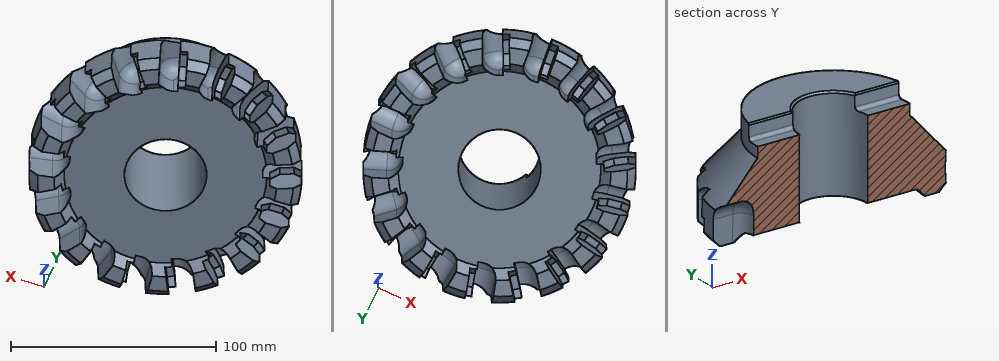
import cadquery as cq
import math

outer_radius = 66.4
total_height = 60.8
hub_radius = 45.0
hub_base = 45.8
cone_base = 21.4
rim_chamfer = 4.1
bore_radius = 20.0
bore_chamfer = 1.0

recess_depth = 4.9
recess_mouth_radius = 54.2

keyway_width = 16.5
keyway_depth = 8.9
keyway_floor_fillet = 2.0
keyway_edge_chamfer = 0.8

tooth_count = 17
first_tooth_angle = 264.1
rake_offset = 3.2
axial_rake = 1.5

slot_width = 9.7
slot_floor = 47.3
slot_floor_width = 2.3
slot_spring = 15.5

seat_sides = 8
seat_depth = 3.6
seat_across_flats = 16.7
seat_center = 59.0
seat_height = 6.5

clearance = 6.6
reach = outer_radius + clearance


def turned_body():
    recess_top_radius = recess_mouth_radius - recess_depth
    return (
        cq.Workplane("XZ")
        .moveTo(bore_radius, recess_depth)
        .lineTo(recess_top_radius, recess_depth)
        .lineTo(recess_mouth_radius, 0)
        .lineTo(outer_radius - rim_chamfer, 0)
        .lineTo(outer_radius, rim_chamfer)
        .lineTo(outer_radius, cone_base)
        .lineTo(hub_radius, hub_base)
        .lineTo(hub_radius, total_height)
        .lineTo(bore_radius + bore_chamfer, total_height)
        .lineTo(bore_radius, total_height - bore_chamfer)
        .close()
        .revolve(360, (0, 0, 0), (0, 1, 0))
    )


def keyway_cutter():
    """Bar along X with rounded lower edges and a flared mouth."""
    half_width = keyway_width / 2
    half_mouth = half_width + keyway_edge_chamfer
    floor = total_height - keyway_depth
    bar = (
        cq.Workplane("XY", origin=(0, 0, floor))
        .rect(2 * reach, keyway_width)
        .extrude(keyway_depth)
        .edges("|X and <Z")
        .fillet(keyway_floor_fillet)
    )
    mouth = (
        cq.Workplane("YZ")
        .polyline([
            (-half_mouth, total_height),
            (half_mouth, total_height),
            (half_width, total_height - keyway_edge_chamfer),
            (-half_width, total_height - keyway_edge_chamfer),
        ])
        .close()
        .extrude(reach, both=True)
    )
    return bar.union(mouth)


def slot_outline():
    """Plan of the chip slot pointing along +X, with its flat wall on Y = 0."""
    corner_radius = slot_width - slot_floor_width
    return (
        cq.Workplane("XY")
        .moveTo(slot_floor, 0)
        .lineTo(slot_floor, -slot_floor_width)
        .radiusArc((slot_floor + corner_radius, -slot_width), -corner_radius)
        .lineTo(reach, -slot_width)
        .lineTo(reach, 0)
        .close()
    )


def slot_cutter():
    """Chip slot with its spring line on Z = 0, open below and domed above."""
    straight = slot_outline().extrude(-slot_spring - clearance)
    dome = slot_outline().revolve(90, (reach, 0, 0), (0, 0, 0))
    return straight.union(dome)


def seat_cutter():
    """Octagonal prism sunk behind the slot wall, in the same frame as the slot."""
    corner_diameter = seat_across_flats / math.cos(math.pi / seat_sides)
    return (
        cq.Workplane("XZ")
        .polygon(seat_sides, corner_diameter)
        .extrude(-seat_depth)
        .rotate((0, 0, 0), (0, 1, 0), 180 / seat_sides)
        .translate((seat_center, 0, seat_height - slot_spring))
    )


def tooth_cutter():
    """Slot and seat together, leaned by the axial rake and set at their height and offset."""
    return (
        slot_cutter()
        .union(seat_cutter())
        .rotate((0, 0, 0), (1, 0, 0), -axial_rake)
        .translate((0, rake_offset, slot_spring))
    )


result = turned_body().cut(keyway_cutter())

tooth_gap = tooth_cutter()
for tooth in range(tooth_count):
    angle = first_tooth_angle + tooth * 360 / tooth_count
    result = result.cut(tooth_gap.rotate((0, 0, 0), (0, 0, 1), angle))